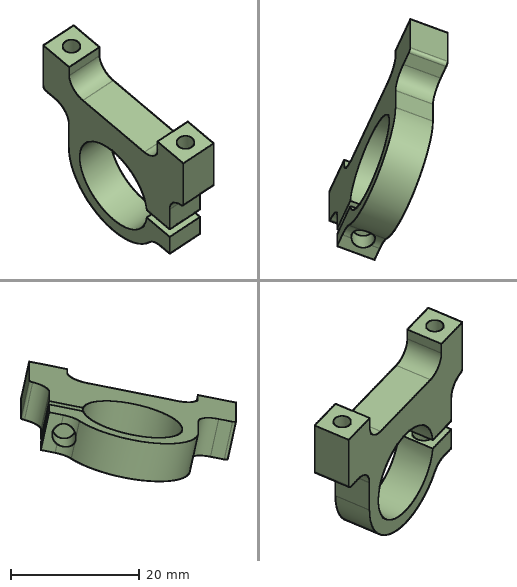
import cadquery as cq
import math

thickness = 6.35
half_width = 16.5
top_z = 19.02
bore_radius = 7.92
ring_radius = 10.5

notch_half_width = 10.4
notch_depth = 5.1
ear_height = 10.17
fillet_radius = 3.17
corner_radius = 0.63

lug_x = 13.3
lug_bottom_z = -4.82
slot_width = 1.75

ear_hole_diameter = 2.75
ear_hole_depth = 6.6
ear_hole_x = 13.45
drill_point_angle = 118.0
clamp_hole_diameter = 3.7
clamp_hole_x = 10.27

notch_z = top_z - notch_depth
ear_bottom_z = top_z - ear_height
fillet_center_z = ear_bottom_z - fillet_radius


def arc_to(outline, center, radius, start_deg, end_deg):
    """Continue the outline along an arc given by its center and end angles."""
    points = []
    for degrees in ((start_deg + end_deg) / 2, end_deg):
        angle = math.radians(degrees)
        points.append((center[0] + radius * math.cos(angle), center[1] + radius * math.sin(angle)))
    return outline.threePointArc(*points)


def make_body():
    right_fillet = (lug_x + fillet_radius, fillet_center_z)
    corner_x = half_width - corner_radius
    corner_offset_x = corner_x - right_fillet[0]
    corner_offset_z = math.sqrt((fillet_radius + corner_radius) ** 2 - corner_offset_x**2)
    right_corner = (corner_x, fillet_center_z + corner_offset_z)
    corner_angle = math.degrees(math.atan2(corner_offset_z, corner_offset_x))

    lug_fillet_z = lug_bottom_z - fillet_radius
    lug_fillet_x = math.sqrt((ring_radius + fillet_radius) ** 2 - lug_fillet_z**2)
    lug_fillet = (lug_fillet_x, lug_fillet_z)
    ring_angle = math.degrees(math.atan2(lug_fillet_z, lug_fillet_x))

    left_corner = (-half_width + corner_radius, ear_bottom_z + corner_radius)
    left_fillet = (-ring_radius - fillet_radius, fillet_center_z)
    notch_fillet_x = notch_half_width - fillet_radius
    notch_fillet_z = notch_z + fillet_radius

    outline = cq.Workplane("XZ").moveTo(-half_width, top_z).lineTo(-notch_half_width, top_z)
    outline = outline.lineTo(-notch_half_width, notch_fillet_z)
    outline = arc_to(outline, (-notch_fillet_x, notch_fillet_z), fillet_radius, 180, 270)
    outline = outline.lineTo(notch_fillet_x, notch_z)
    outline = arc_to(outline, (notch_fillet_x, notch_fillet_z), fillet_radius, -90, 0)
    outline = outline.lineTo(notch_half_width, top_z).lineTo(half_width, top_z)
    outline = outline.lineTo(half_width, right_corner[1])
    outline = arc_to(outline, right_corner, corner_radius, 0, corner_angle - 180)
    outline = arc_to(outline, right_fillet, fillet_radius, corner_angle, 180)
    outline = outline.lineTo(lug_x, lug_bottom_z).lineTo(lug_fillet_x, lug_bottom_z)
    outline = arc_to(outline, lug_fillet, fillet_radius, 90, ring_angle + 180)
    outline = arc_to(outline, (0, 0), ring_radius, ring_angle, -180)
    outline = outline.lineTo(-ring_radius, fillet_center_z)
    outline = arc_to(outline, left_fillet, fillet_radius, 0, 90)
    outline = outline.lineTo(left_corner[0], ear_bottom_z)
    outline = arc_to(outline, left_corner, corner_radius, 270, 180)
    return outline.close().extrude(thickness / 2, both=True)


def make_bore_and_slot():
    bore = cq.Workplane("XZ").circle(bore_radius).extrude(thickness / 2, both=True)
    slot = cq.Workplane("XY").box(lug_x, thickness, slot_width, centered=(False, True, True))
    return bore.union(slot)


def make_ear_hole(x):
    """Blind drilled hole with a conical bottom, entering from the top of an ear."""
    radius = ear_hole_diameter / 2
    point_height = radius / math.tan(math.radians(drill_point_angle / 2))
    profile = cq.Workplane("XZ").polyline(
        [(0, 0), (radius, 0), (radius, -ear_hole_depth), (0, -ear_hole_depth - point_height)]
    )
    return profile.close().revolve(360, (0, 0), (0, 1)).translate((x, 0, top_z))


def make_clamp_hole():
    """Screw clearance hole through the lower lug, from the slot down."""
    start = cq.Workplane("XY").center(clamp_hole_x, 0)
    return start.circle(clamp_hole_diameter / 2).extrude(-ring_radius)


result = make_body().cut(make_bore_and_slot()).cut(make_clamp_hole())
for hole_x in (-ear_hole_x, ear_hole_x):
    result = result.cut(make_ear_hole(hole_x))